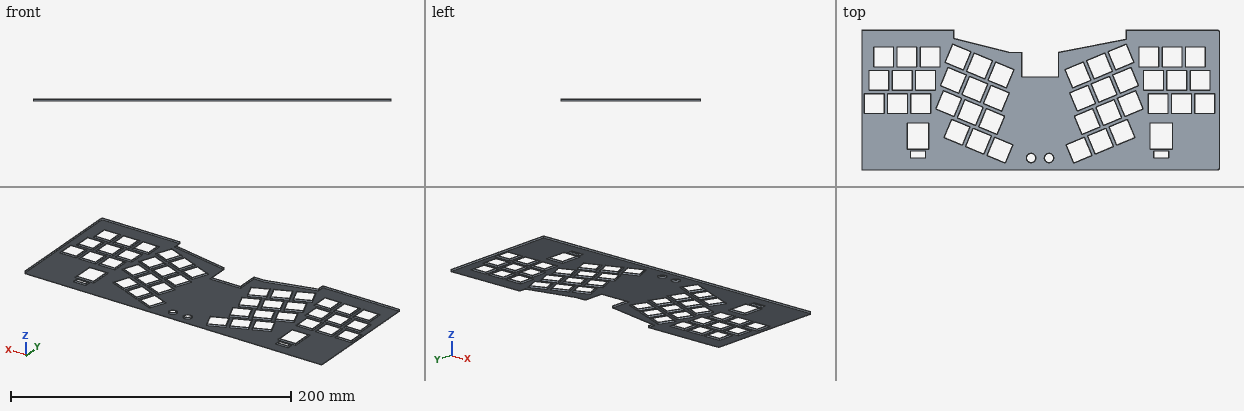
import cadquery as cq
import math

LENGTH = 255.0
WIDTH = 99.8
THICKNESS = 1.51
RIGHT_CORNER_RADIUS = 1.5

LEFT_SHOULDER_X = 65.6
LEFT_SHOULDER_FOOT_Y = 93.9
LEFT_SLOPE_END_X = 105.2
RIGHT_SHOULDER_X = 188.3
RIGHT_SHOULDER_FOOT_Y = 93.3
NOTCH_LEFT_X = 114.0
NOTCH_RIGHT_X = 140.0
NOTCH_TOP_Y = 83.95
NOTCH_FLOOR_Y = 66.4

KEY_MIRROR_X = 126.6
KEY_SIZE = 14.0
KEY_PITCH = 16.6
KEY_COLUMNS = 3
ROW_STAGGER = 0.2 * KEY_PITCH
OUTER_ROW_SHIFTS = [0.0, -ROW_STAGGER, -2 * ROW_STAGGER]
INNER_ROW_SHIFTS = [0.0, ROW_STAGGER, 2 * ROW_STAGGER, 6 * ROW_STAGGER]
OUTER_KEY_ORIGIN = (15.4, 80.6)
INNER_KEY_ORIGIN = (68.5, 80.6)
INNER_TILT = 22.6

OPENING_Y = 24.2
OPENING_DEPTH = 18.6
LEFT_OPENING_X = 40.0
LEFT_OPENING_LENGTH = 15.2
RIGHT_OPENING_X = 213.4
RIGHT_OPENING_LENGTH = 15.8
SLOT_Y = 11.1
SLOT_LENGTH = 10.6
SLOT_DEPTH = 4.7

ROUND_HOLE_DIAMETER = 6.5
ROUND_HOLE_XS = (120.6, 133.4)
ROUND_HOLE_Y = 8.6


def make_plate():
    """Plate blank with its left front corner at the XY origin."""
    plate = (
        cq.Workplane("XY")
        .polyline([
            (0, 0),
            (LENGTH, 0),
            (LENGTH, WIDTH),
            (RIGHT_SHOULDER_X, WIDTH),
            (RIGHT_SHOULDER_X, RIGHT_SHOULDER_FOOT_Y),
            (NOTCH_RIGHT_X, NOTCH_TOP_Y),
            (NOTCH_RIGHT_X, NOTCH_FLOOR_Y),
            (NOTCH_LEFT_X, NOTCH_FLOOR_Y),
            (NOTCH_LEFT_X, NOTCH_TOP_Y),
            (LEFT_SLOPE_END_X, NOTCH_TOP_Y),
            (LEFT_SHOULDER_X, LEFT_SHOULDER_FOOT_Y),
            (LEFT_SHOULDER_X, WIDTH),
            (0, WIDTH),
        ])
        .close()
        .extrude(THICKNESS)
    )
    return plate.faces(">X").edges("|Z").fillet(RIGHT_CORNER_RADIUS)


def key_centers(origin, row_shifts, tilt):
    """Key centers of a block whose rows run down to the right by tilt degrees."""
    cos_tilt = math.cos(math.radians(tilt))
    sin_tilt = math.sin(math.radians(tilt))
    centers = []
    for row, shift in enumerate(row_shifts):
        down = row * KEY_PITCH
        for column in range(KEY_COLUMNS):
            along = column * KEY_PITCH + shift
            x = origin[0] + along * cos_tilt - down * sin_tilt
            y = origin[1] - along * sin_tilt - down * cos_tilt
            centers.append((x, y))
    return centers


def mirrored(centers):
    """The same centers on the other side of the key layout."""
    return [(2 * KEY_MIRROR_X - x, y) for x, y in centers]


def cut_rectangles(plate, centers, length, depth, angle=0.0):
    """Cut rectangular windows, turned by angle degrees, through the plate."""
    outline = cq.Sketch().push(centers).rect(length, depth, angle=angle)
    return plate.cut(cq.Workplane("XY").placeSketch(outline).extrude(THICKNESS))


def cut_keys(plate):
    """Cut the straight outer key blocks and the tilted inner key blocks."""
    outer = key_centers(OUTER_KEY_ORIGIN, OUTER_ROW_SHIFTS, 0.0)
    inner = key_centers(INNER_KEY_ORIGIN, INNER_ROW_SHIFTS, INNER_TILT)
    plate = cut_rectangles(plate, outer + mirrored(outer), KEY_SIZE, KEY_SIZE)
    plate = cut_rectangles(plate, inner, KEY_SIZE, KEY_SIZE, -INNER_TILT)
    return cut_rectangles(plate, mirrored(inner), KEY_SIZE, KEY_SIZE, INNER_TILT)


def cut_openings(plate):
    """Cut the wide opening and the small slot on each side."""
    for x, length in (
        (LEFT_OPENING_X, LEFT_OPENING_LENGTH),
        (RIGHT_OPENING_X, RIGHT_OPENING_LENGTH),
    ):
        plate = cut_rectangles(plate, [(x, OPENING_Y)], length, OPENING_DEPTH)
        plate = cut_rectangles(plate, [(x, SLOT_Y)], SLOT_LENGTH, SLOT_DEPTH)
    return plate


def cut_round_holes(plate):
    """Cut the two round holes through the plate."""
    cutter = (
        cq.Workplane("XY")
        .pushPoints([(x, ROUND_HOLE_Y) for x in ROUND_HOLE_XS])
        .circle(ROUND_HOLE_DIAMETER / 2)
        .extrude(THICKNESS)
    )
    return plate.cut(cutter)


plate = make_plate()
plate = cut_keys(plate)
plate = cut_openings(plate)
plate = cut_round_holes(plate)

result = plate.translate((-LENGTH / 2, -WIDTH / 2, 0))